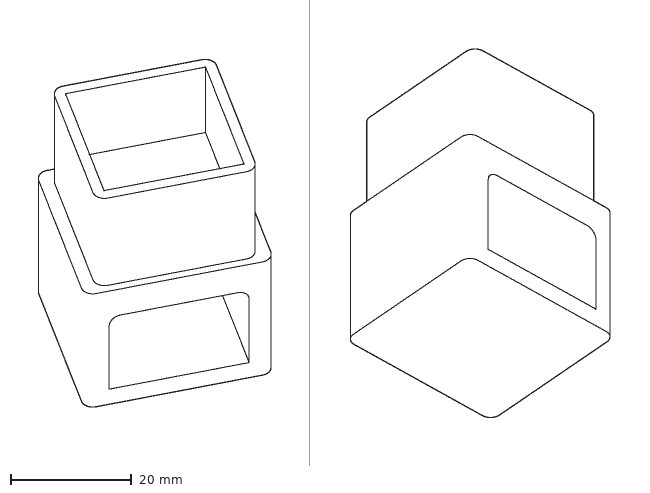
import cadquery as cq

base_x = 30.55
base_y = 32.5
total_height = 46.0
spigot_height = 20.0
base_height = total_height - spigot_height
corner_radius = 2.0

bore_side = 24.0
spigot_wall = 1.9
spigot_side = bore_side + 2 * spigot_wall
bore_depth = 15.0

window_width = bore_side
window_height = 16.5
window_floor = 3.5
window_radius = 2.0


def rounded_block(size_x, size_y, height, bottom):
    """Upright block centred on Z with rounded vertical edges."""
    block = cq.Workplane("XY").workplane(offset=bottom).rect(size_x, size_y).extrude(height)
    return block.edges("|Z").fillet(corner_radius)


def window_cutter():
    """Rectangular passage with its two upper edges rounded."""
    cutter = cq.Workplane("XY").box(base_x, window_width, window_height, centered=(True, True, False))
    return cutter.edges("|X and >Z").fillet(window_radius).translate((0, 0, window_floor))


base = rounded_block(base_x, base_y, base_height, 0)
spigot = rounded_block(spigot_side, spigot_side, spigot_height, base_height)
bore = (
    cq.Workplane("XY")
    .workplane(offset=total_height - bore_depth)
    .rect(bore_side, bore_side)
    .extrude(bore_depth)
)

result = base.union(spigot).cut(bore).cut(window_cutter())